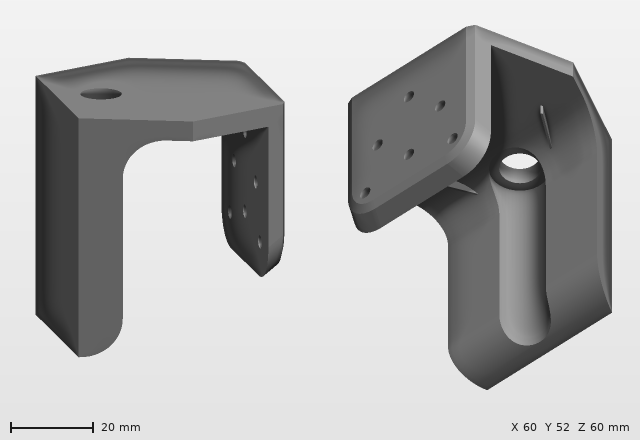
import cadquery as cq
import math

width = 60.0
depth = 52.0
height = 60.0
end_width = 40.0
half_depth = depth / 2

plate_thickness = 5.0
front_thickness = 10.0
round_radius = 10.0

rear_inner_height = 44.75
rear_slope = math.radians(30)
bevel_depth = 1.0
bevel_width = bevel_depth / math.tan(math.radians(30))

hole_diameter = 10.0
hole_y = -15.0
recess_diameter = 15.0
rib_bottom = -7.75
rib_thickness = 0.55
rib_end_x = -18.0
rib_end_y = -2.7
rib_length = 18.0
rib_angle = math.radians(30)

screw_diameter = 3.25
ring_z = -22.0
ring_radius = 10.0
corner_hole_x = 14.0
corner_hole_z = -36.0

inner_front_y = -half_depth + front_thickness
inner_rear_y = half_depth - plate_thickness


def hexagonal_prism():
    half_end = end_width / 2
    corners = [
        (-half_end, -half_depth),
        (half_end, -half_depth),
        (width / 2, 0),
        (half_end, half_depth),
        (-half_end, half_depth),
        (-width / 2, 0),
    ]
    return cq.Workplane("XY").polyline(corners).close().extrude(-height)


def side_profile():
    """Top plate, front wall and rear wall in the YZ plane, extruded across the width."""
    arc_offset = round_radius * math.sqrt(0.5)
    fillet_y = inner_front_y + round_radius
    fillet_z = -plate_thickness - round_radius
    foot_z = -height + round_radius
    rear_outer_height = rear_inner_height - plate_thickness * math.tan(rear_slope)
    return (
        cq.Workplane("YZ")
        .moveTo(-half_depth, 0)
        .lineTo(half_depth, 0)
        .lineTo(half_depth, -rear_outer_height)
        .lineTo(inner_rear_y, -rear_inner_height)
        .lineTo(inner_rear_y, -plate_thickness)
        .lineTo(fillet_y, -plate_thickness)
        .threePointArc((fillet_y - arc_offset, fillet_z + arc_offset), (inner_front_y, fillet_z))
        .lineTo(inner_front_y, foot_z)
        .threePointArc(
            (inner_front_y - round_radius + arc_offset, foot_z - arc_offset),
            (-half_depth, -height),
        )
        .close()
        .extrude(width / 2, both=True)
    )


def rear_wall_finish(body):
    """Round the lower corners of the rear wall, then bevel its outer outline."""
    corner_box = cq.selectors.BoxSelector(
        (-width, inner_rear_y, -height),
        (width, depth, -rear_inner_height / 2),
    )
    slanted_edges = body.edges(corner_box).edges("not(#Y or |Y)")
    body = slanted_edges.fillet(round_radius)
    outline = body.faces(">Y").edges("not(>Z)").vals()
    return cq.Workplane(body.val().chamfer(bevel_width, bevel_depth, outline))


def rib():
    """Slanted rib that runs from its free end forward into the front wall."""
    along_x = math.sin(rib_angle)
    along_y = -math.cos(rib_angle)
    front_x = rib_end_x + rib_length * along_x
    front_y = rib_end_y + rib_length * along_y
    offset_x = -rib_thickness * along_y
    offset_y = rib_thickness * along_x
    end_cut = rib_thickness / math.sin(2 * rib_angle)
    outline = [
        (rib_end_x, rib_end_y),
        (front_x, front_y),
        (front_x + offset_x, front_y + offset_y),
        (rib_end_x + end_cut * along_x, rib_end_y - end_cut * along_y),
    ]
    return cq.Workplane("XY").polyline(outline).close().extrude(rib_bottom)


def screw_holes():
    centres = [
        (-ring_radius, ring_z),
        (ring_radius, ring_z),
        (0, ring_z - ring_radius),
        (0, ring_z + ring_radius),
        (-corner_hole_x, corner_hole_z),
        (corner_hole_x, corner_hole_z),
    ]
    return (
        cq.Workplane("XZ", origin=(0, half_depth, 0))
        .pushPoints(centres)
        .circle(screw_diameter / 2)
        .extrude(plate_thickness)
    )


def vertical_hole():
    """Hole through the top plate, opening into a wider recess down the front wall."""
    hole = cq.Workplane("XY").center(0, hole_y).circle(hole_diameter / 2).extrude(-height)
    recess = (
        cq.Workplane("XY", origin=(0, hole_y, -plate_thickness))
        .circle(recess_diameter / 2)
        .extrude(plate_thickness - height)
    )
    return hole.union(recess)


body = rear_wall_finish(hexagonal_prism().intersect(side_profile()))
body = body.union(rib()).union(rib().mirror("YZ"))
result = body.cut(vertical_hole()).cut(screw_holes())